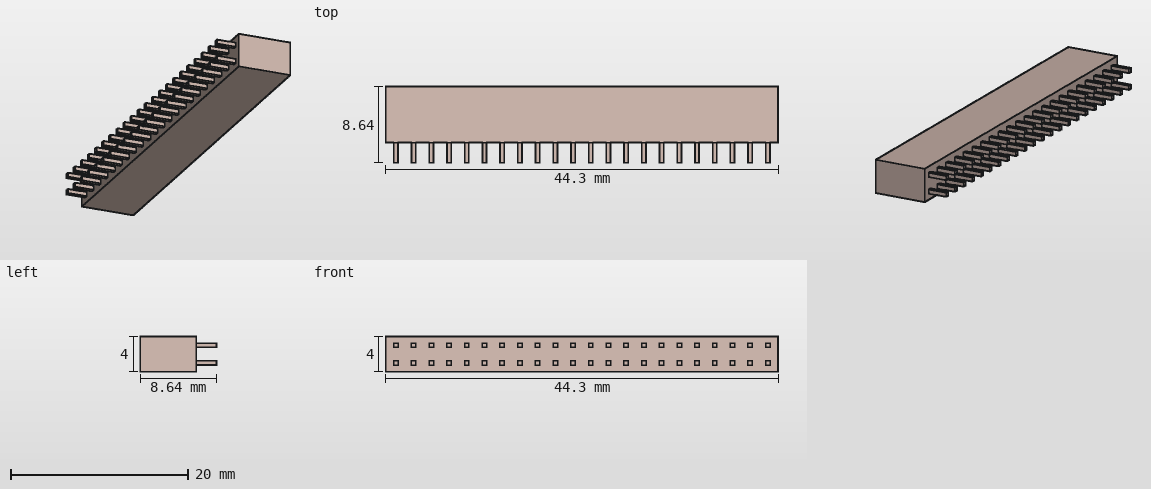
import cadquery as cq

pitch = 2.0
columns = 22
rows = 2
end_margin = 0.3
overall_depth = 8.64
body_depth = 6.35
pin_width = 0.5

body_length = columns * pitch + end_margin
body_height = rows * pitch
pin_length = overall_depth - body_depth


def make_body():
    """Plain housing block with its pin face on the plane Y = 0."""
    return cq.Workplane("XY").box(body_length, body_depth, body_height, centered=(True, False, True))


def make_pins():
    """Grid of square pins standing out of the housing toward -Y."""
    return (
        cq.Workplane("XZ")
        .rarray(pitch, pitch, columns, rows)
        .rect(pin_width, pin_width)
        .extrude(pin_length)
    )


result = make_body().union(make_pins())